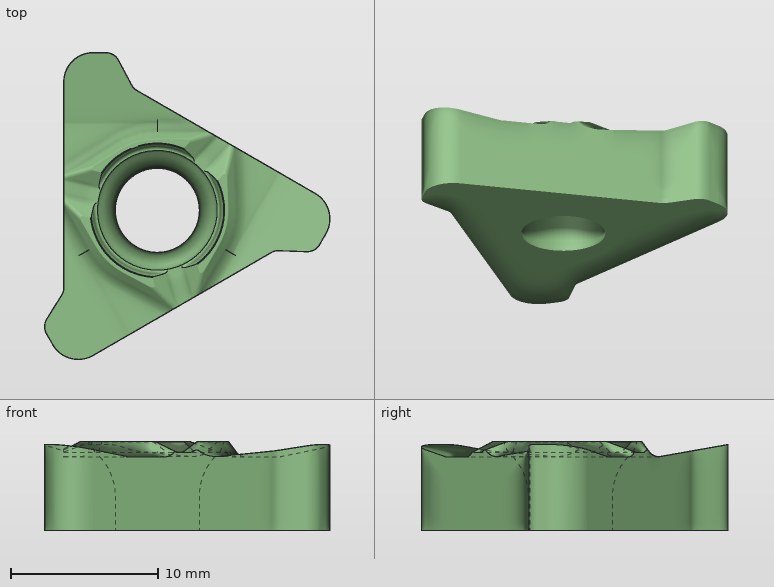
import cadquery as cq
import math


LOBES = 3
LOBE_PITCH = 360 / LOBES
TOLERANCE = 0.001
REACH = 15.0

INSCRIBED_RADIUS = 6.35
LOBE_TIP = 10.70
NOSE_RADIUS = 2.0
HEEL_RADIUS = 1.0
ROOT_RADIUS = 0.8
FLANK_POINT = (-2.085, 9.16)
FLANK_ANGLE = 118.0

FLAT_Z = 5.0
SLOT_FLOOR_Z = 5.3
TOP_Z = 6.05

RAMP_START = 5.9
RAMP_ANGLE = 10.0
RAMP_BLEND_RADIUS = 0.7

BOSS_TOP_DISTANCE = 4.83
BOSS_FLANK_ANGLE = 53.5
BOSS_FOOT_RADIUS = 0.78
TOP_EDGE_ROUND = 0.06
BOSS_TURN = 32.0
BOSS_ROOT_Z = FLAT_Z - 1.0

SLOT_ANGLE = 166.3
SLOT_FLOOR_HALF_WIDTH = 0.53
SLOT_TOP_HALF_WIDTH = 1.58
SLOT_FOOT_RADIUS = 0.35
SLOT_EDGE_RADIUS = 0.3

HOLE_RADIUS = 5.7 / 2
BOWL_BOTTOM_Z = 2.33
BOWL_TOP_RADIUS = 3.95
BOWL_TOP_Z = 5.06
LIP_RADIUS = 4.06
LEDGE_RADIUS = 4.26
LEDGE_FOOT_RADIUS = 0.2
MOUTH_RADIUS = 4.52


def direction(angle):
    """Unit direction at an angle in degrees."""
    return (math.cos(math.radians(angle)), math.sin(math.radians(angle)))


def spin(point, angle):
    """Rotate a plan point about the axis."""
    c, s = direction(angle)
    return (point[0] * c - point[1] * s, point[0] * s + point[1] * c)


def around(solid):
    """Three copies of a solid, one for each lobe."""
    return [solid.rotate((0, 0, 0), (0, 0, 1), k * LOBE_PITCH) for k in range(LOBES)]


def crossing(p, p_angle, q, q_angle):
    """Point where two lines, each given by a point and a direction, cross."""
    px, py = direction(p_angle)
    qx, qy = direction(q_angle)
    t = ((q[0] - p[0]) * qy - (q[1] - p[1]) * qx) / (px * qy - py * qx)
    return (p[0] + t * px, p[1] + t * py)


def corner_arc(corner, angle_in, angle_out, radius):
    """Start, middle and end of the arc that rounds a corner between two directions."""
    in_x, in_y = direction(angle_in)
    out_x, out_y = direction(angle_out)
    half_turn = math.radians(angle_out - angle_in) / 2
    tangent = radius * math.tan(abs(half_turn))
    gap = radius * (1 / math.cos(half_turn) - 1)
    bisector = math.hypot(out_x - in_x, out_y - in_y)
    start = (corner[0] - tangent * in_x, corner[1] - tangent * in_y)
    middle = (
        corner[0] + gap * (out_x - in_x) / bisector,
        corner[1] + gap * (out_y - in_y) / bisector,
    )
    end = (corner[0] + tangent * out_x, corner[1] + tangent * out_y)
    return start, middle, end


def outline_prism(height):
    """Plan outline of the insert, extruded up from the seat."""
    nose = (-INSCRIBED_RADIUS, LOBE_TIP)
    heel = crossing(FLANK_POINT, FLANK_ANGLE, nose, 0)
    side_point = spin((-INSCRIBED_RADIUS, 0), -LOBE_PITCH)
    root = crossing(FLANK_POINT, FLANK_ANGLE, side_point, 90 - LOBE_PITCH)
    corners = [spin(p, -k * LOBE_PITCH) for k in range(LOBES) for p in (nose, heel, root)]
    prism = cq.Workplane("XY").polyline(corners).close().extrude(height)
    for corner, radius in ((nose, NOSE_RADIUS), (heel, HEEL_RADIUS), (root, ROOT_RADIUS)):
        for k in range(LOBES):
            x, y = spin(corner, -k * LOBE_PITCH)
            prism = prism.edges(cq.NearestToPointSelector((x, y, height / 2))).fillet(radius)
    return prism


def lobe_ramp():
    """Block under the sloping top of the +Y lobe, blended into the flat."""
    start, middle, end = corner_arc((RAMP_START, FLAT_Z), 0, RAMP_ANGLE, RAMP_BLEND_RADIUS)
    far_z = FLAT_Z + (REACH - RAMP_START) * math.tan(math.radians(RAMP_ANGLE))
    return (
        cq.Workplane("YZ")
        .moveTo(start[0], 0)
        .lineTo(*start)
        .threePointArc(middle, end)
        .lineTo(REACH, far_z)
        .lineTo(REACH, 0)
        .close()
        .extrude(REACH, both=True)
    )


def boss_profile(floor_angle):
    """Half section of the boss, its foot tangent to a floor that climbs outward at an angle."""
    top = (BOSS_TOP_DISTANCE, TOP_Z)
    climb = 180 - BOSS_FLANK_ANGLE
    foot_corner = crossing(top, climb, (RAMP_START, FLAT_Z), floor_angle)
    foot, middle, flank_start = corner_arc(foot_corner, 180 + floor_angle, climb, BOSS_FOOT_RADIUS)
    return (
        cq.Workplane("YZ")
        .moveTo(0, BOSS_ROOT_Z)
        .lineTo(foot[0], BOSS_ROOT_Z)
        .lineTo(*foot)
        .threePointArc(middle, flank_start)
        .lineTo(*top)
        .lineTo(0, TOP_Z)
        .close()
    )


def boss_third():
    """Conical stretch on the +Y lobe and the straight flanks beside one slot."""
    axis = (0, 0, 0), (0, 0, 1)
    cone = boss_profile(0).revolve(BOSS_TURN, (0, 0), (0, 1))
    ccw_flank = boss_profile(0).extrude(-REACH).rotate(*axis, BOSS_TURN)
    cw_flank = boss_profile(RAMP_ANGLE).extrude(REACH).rotate(*axis, LOBE_PITCH)
    return cone.union(ccw_flank.intersect(cw_flank))


def slot():
    """Radial trough at the slot angle, with sloping walls and rounded feet."""
    depth = TOP_Z - SLOT_FLOOR_Z
    run = SLOT_TOP_HALF_WIDTH - SLOT_FLOOR_HALF_WIDTH
    wall_angle = math.degrees(math.atan2(depth, run))
    floor_corner = (SLOT_FLOOR_HALF_WIDTH, SLOT_FLOOR_Z)
    floor_end, middle, wall_start = corner_arc(floor_corner, 0, wall_angle, SLOT_FOOT_RADIUS)
    above = (SLOT_TOP_HALF_WIDTH + run, TOP_Z + depth)
    trough = (
        cq.Workplane("YZ")
        .moveTo(-floor_end[0], SLOT_FLOOR_Z)
        .lineTo(*floor_end)
        .threePointArc(middle, wall_start)
        .lineTo(*above)
        .lineTo(-above[0], above[1])
        .lineTo(-wall_start[0], wall_start[1])
        .threePointArc((-middle[0], middle[1]), (-floor_end[0], SLOT_FLOOR_Z))
        .close()
        .extrude(REACH)
    )
    return trough.rotate((0, 0, 0), (0, 0, 1), SLOT_ANGLE)


def screw_hole():
    """Bore, curved screw seat tangent to the bore, ledge and conical mouth."""
    rise = BOWL_TOP_Z - BOWL_BOTTOM_Z
    spread = BOWL_TOP_RADIUS - HOLE_RADIUS
    sweep = 2 * math.atan2(spread, rise)
    bowl_radius = rise / math.sin(sweep)
    bowl_middle = (
        HOLE_RADIUS + bowl_radius * (1 - math.cos(sweep / 2)),
        BOWL_BOTTOM_Z + bowl_radius * math.sin(sweep / 2),
    )
    mouth_angle = math.degrees(math.atan2(TOP_Z - SLOT_FLOOR_Z, MOUTH_RADIUS - LEDGE_RADIUS))
    ledge_corner = (LEDGE_RADIUS, SLOT_FLOOR_Z)
    ledge_end, foot_middle, mouth_start = corner_arc(ledge_corner, 0, mouth_angle, LEDGE_FOOT_RADIUS)
    return (
        cq.Workplane("XZ")
        .lineTo(HOLE_RADIUS, 0)
        .lineTo(HOLE_RADIUS, BOWL_BOTTOM_Z)
        .threePointArc(bowl_middle, (BOWL_TOP_RADIUS, BOWL_TOP_Z))
        .lineTo(LIP_RADIUS, SLOT_FLOOR_Z)
        .lineTo(*ledge_end)
        .threePointArc(foot_middle, mouth_start)
        .lineTo(MOUTH_RADIUS, TOP_Z)
        .lineTo(0, TOP_Z)
        .close()
        .revolve(360, (0, 0), (0, 1))
    )


def is_slot_edge(edge):
    """True for a long edge falling from the boss top, where a slot wall meets a boss flank."""
    box = edge.BoundingBox()
    reaches_top = math.isclose(box.zmax, TOP_Z, abs_tol=TOLERANCE)
    falls = box.zmin < (TOP_Z + SLOT_FLOOR_Z) / 2
    middle = edge.Center()
    outside_boss_top = math.hypot(middle.x, middle.y) > BOSS_TOP_DISTANCE
    return reaches_top and falls and outside_boss_top and edge.Length() > 2 * (TOP_Z - SLOT_FLOOR_Z)


upper_parts = around(lobe_ramp()) + around(boss_third())
result = cq.Workplane("XY").circle(REACH).extrude(FLAT_Z)
for piece in upper_parts:
    result = result.union(piece)
for trough in around(slot()):
    result = result.cut(trough)
slot_edges = [edge for edge in result.edges().vals() if is_slot_edge(edge)]
result = result.newObject(slot_edges).fillet(SLOT_EDGE_RADIUS)
result = result.cut(screw_hole())
result = result.faces(">Z").edges().fillet(TOP_EDGE_ROUND)
result = result.intersect(outline_prism(2 * TOP_Z))